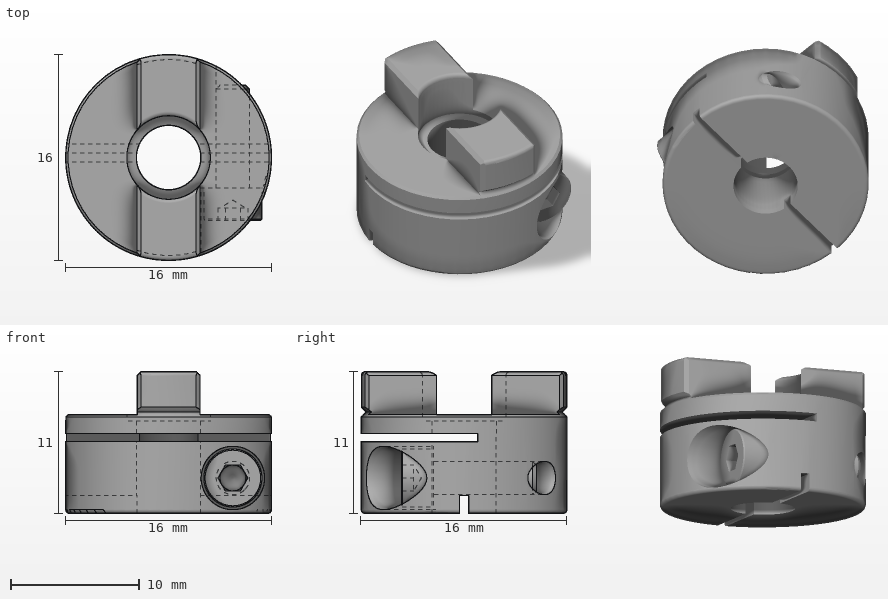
import cadquery as cq
import math

HUB_RADIUS = 8.0
HUB_HEIGHT = 7.68
BASE_FILLET = 0.3
BORE_RADIUS = 2.5
RECESS_RADIUS = 3.25
RECESS_DEPTH = 0.5

TOTAL_HEIGHT = 11.0
LUG_WIDTH = 4.9
LUG_BEVEL = 0.3
LUG_ROUND = 0.3

GROOVE_BOTTOM = 7.49
GROOVE_DEPTH = 0.38

CLAMP_SLIT_BOTTOM = 5.57
CLAMP_SLIT_HEIGHT = 0.62
CLAMP_SLIT_END_Y = 1.04
BASE_SLOT_WIDTH = 0.69
BASE_SLOT_HEIGHT = 1.4

SCREW_X = 5.0
SCREW_Z = 2.75
HEAD_RADIUS = 2.25
HEAD_TOP_Y = -4.88
HEAD_LENGTH = 2.5
HEAD_BEVEL = 0.1
SHANK_RADIUS = 1.3
SHANK_END_Y = 5.62
SHANK_BEVEL = 0.3
SOCKET_FLATS = 2.02
SOCKET_DEPTH = 0.96
SOCKET_POINT_ANGLE = 118.0
COUNTERBORE_RADIUS = 2.46

SEAT_Y = HEAD_TOP_Y + HEAD_LENGTH


def cylinder_z(radius, bottom, top):
    """Cylinder on the Z axis between two heights."""
    return cq.Workplane("XY").workplane(offset=bottom).circle(radius).extrude(top - bottom)


def cylinder_y(radius, start, end):
    """Cylinder on the screw axis between two Y positions."""
    plane = cq.Plane(origin=(SCREW_X, start, SCREW_Z), xDir=(1, 0, 0), normal=(0, 1, 0))
    return cq.Workplane(plane).circle(radius).extrude(end - start)


def make_lugs():
    """Two lugs with a round outer face, a round inner face, bevelled sides and rounded ends."""
    height = TOTAL_HEIGHT - HUB_HEIGHT
    bar = (
        cq.Workplane("XY")
        .workplane(offset=HUB_HEIGHT)
        .rect(LUG_WIDTH, 3 * HUB_RADIUS)
        .extrude(height)
        .faces(">Z")
        .edges("|Y")
        .chamfer(LUG_BEVEL)
    )
    ring = cylinder_z(HUB_RADIUS, HUB_HEIGHT, TOTAL_HEIGHT)
    ring = ring.cut(cylinder_z(RECESS_RADIUS, HUB_HEIGHT, TOTAL_HEIGHT))
    ring = ring.faces(">Z").edges().fillet(LUG_ROUND)
    lugs = bar.intersect(ring)

    half_width = LUG_WIDTH / 2
    flat_half_width = half_width - LUG_BEVEL
    flat_end_y = math.sqrt(HUB_RADIUS**2 - flat_half_width**2)
    side_end_y = flat_end_y - LUG_BEVEL
    for x_side in (-1, 1):
        for y_side in (-1, 1):
            corner = (
                cq.Workplane("XY")
                .workplane(offset=HUB_HEIGHT)
                .moveTo(x_side * flat_half_width, y_side * flat_end_y)
                .lineTo(x_side * half_width, y_side * side_end_y)
                .lineTo(x_side * half_width, y_side * HUB_RADIUS)
                .lineTo(x_side * flat_half_width, y_side * HUB_RADIUS)
                .close()
                .extrude(height)
            )
            lugs = lugs.cut(corner)

    return lugs


def make_groove():
    """Ring that cuts the V groove."""
    return (
        cq.Workplane("XZ")
        .moveTo(HUB_RADIUS, GROOVE_BOTTOM)
        .lineTo(HUB_RADIUS - GROOVE_DEPTH, GROOVE_BOTTOM + GROOVE_DEPTH)
        .lineTo(HUB_RADIUS, GROOVE_BOTTOM + 2 * GROOVE_DEPTH)
        .lineTo(HUB_RADIUS + GROOVE_DEPTH, GROOVE_BOTTOM + 2 * GROOVE_DEPTH)
        .lineTo(HUB_RADIUS + GROOVE_DEPTH, GROOVE_BOTTOM)
        .close()
        .revolve(360, (0, 0, 0), (0, 1, 0))
    )


def make_clamp_slit():
    """Flat slit from the -Y side to just past the hub axis."""
    return (
        cq.Workplane("XY")
        .workplane(offset=CLAMP_SLIT_BOTTOM)
        .center(0, CLAMP_SLIT_END_Y - HUB_RADIUS)
        .rect(3 * HUB_RADIUS, 2 * HUB_RADIUS)
        .extrude(CLAMP_SLIT_HEIGHT)
    )


def make_base_slot():
    """Shallow slot along X right across the underside."""
    return cq.Workplane("XY").rect(3 * HUB_RADIUS, BASE_SLOT_WIDTH).extrude(BASE_SLOT_HEIGHT)


def make_hub():
    """Clamping hub with its two lugs."""
    hub = cylinder_z(HUB_RADIUS, 0, HUB_HEIGHT).faces("<Z").edges().fillet(BASE_FILLET)
    hub = hub.union(make_lugs())
    hub = hub.cut(make_groove())
    hub = hub.cut(cylinder_z(BORE_RADIUS, 0, HUB_HEIGHT))
    hub = hub.cut(cylinder_z(RECESS_RADIUS, HUB_HEIGHT - RECESS_DEPTH, HUB_HEIGHT))
    hub = hub.cut(make_clamp_slit())
    hub = hub.cut(make_base_slot())
    hub = hub.cut(cylinder_y(COUNTERBORE_RADIUS, -HUB_RADIUS, SEAT_Y))
    return hub.cut(cylinder_y(SHANK_RADIUS, SEAT_Y, HUB_RADIUS))


def make_socket():
    """Hexagonal key socket with a conical drill point below it."""
    inner_radius = SOCKET_FLATS / 2
    corner_diameter = SOCKET_FLATS / math.cos(math.radians(30))
    point_depth = inner_radius / math.tan(math.radians(SOCKET_POINT_ANGLE / 2))
    plane = cq.Plane(origin=(SCREW_X, HEAD_TOP_Y, SCREW_Z), xDir=(1, 0, 0), normal=(0, 1, 0))
    hexagon = cq.Workplane(plane).polygon(6, corner_diameter).extrude(SOCKET_DEPTH)
    point = cq.Solid.makeCone(
        inner_radius,
        0,
        point_depth,
        pnt=cq.Vector(SCREW_X, HEAD_TOP_Y + SOCKET_DEPTH, SCREW_Z),
        dir=cq.Vector(0, 1, 0),
    )
    return hexagon.union(cq.Workplane(point))


def make_screw():
    """Socket head clamp screw."""
    head = cylinder_y(HEAD_RADIUS, HEAD_TOP_Y, SEAT_Y).faces("<Y").edges().chamfer(HEAD_BEVEL)
    shank = cylinder_y(SHANK_RADIUS, SEAT_Y, SHANK_END_Y).faces(">Y").edges().chamfer(SHANK_BEVEL)
    return head.union(shank).cut(make_socket())


hub = make_hub()
screw = make_screw()

result = cq.Compound.makeCompound([hub.solids().val(), screw.solids().val()])